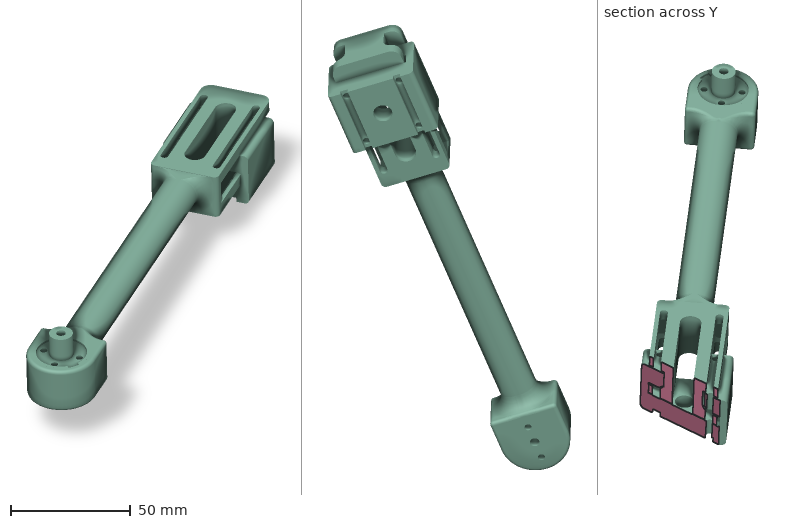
import cadquery as cq
ARM_HEADING = 30.8
ARM_ROLL = 2.0

HEAD_RADIUS = 14.8
HEAD_BACK = 15.0
ARM_HEIGHT = 20.0
HEAD_EDGE_FILLET = 1.5
HEAD_CORNER_ROUND = 1.5

TUBE_WIDTH = 16.0
TUBE_HEIGHT = 14.0
TUBE_DROP = 0.2
FLARE_RADIUS = 6.0
TUBE_ROUND = TUBE_HEIGHT / 2
TUBE_FLAT = TUBE_WIDTH - TUBE_HEIGHT
TUBE_AXIS_Z = -TUBE_DROP - TUBE_ROUND

RAIL_NEAR = 141.4
RAIL_FAR = 205.0
RAIL_WIDTH = 30.4
RAIL_NEAR_ROUND = 2.0
RAIL_FAR_ROUND = 4.5
FLANGE_THICKNESS = 5.0
GROOVE_HEIGHT = ARM_HEIGHT - 2 * FLANGE_THICKNESS
GROOVE_FLOOR_WIDTH = 17.3
GROOVE_NEAR = 145.2
GROOVE_FILLET = 3.5
GROOVE_OVERRUN = 1.0

MAIN_SLOT_WIDTH = 9.0
MAIN_SLOT_NEAR = 150.5
MAIN_SLOT_FAR = 194.5
SIDE_SLOT_WIDTH = 3.3
SIDE_SLOT_NEAR = 148.0
SIDE_SLOT_FAR = 197.0
SIDE_SLOT_OFFSET = 11.7

SLIDER_LENGTH = 30.0
SLIDER_CENTRE = 182.6
SLIDER_WIDTH = 38.0
SIDE_PLAY = 0.8
SLIDER_BASE_THICKNESS = 9.5
LIP_HEIGHT = 9.0
LIP_TOP = -5.5
LIP_INNER_WIDTH = GROOVE_FLOOR_WIDTH + SIDE_PLAY
LIP_CHAMFER = 2.0
JAW_INNER_WIDTH = RAIL_WIDTH + SIDE_PLAY
JAW_EDGE_FILLET = 2.0
SLIDER_BORE = 8.0
SCREW_HOLE = 3.0
SCREW_SPACING = 24.0
KEYWAY_WIDTH = 3.2
KEYWAY_DEPTH = 2.0

SEAT_DIAMETER = 24.0
RING_THICKNESS = 1.0
RING_INNER = 21.4
RING_GAP_ANGLE = 25.0
RING_GAP_START = -55.0
DISC_DIAMETER = 22.0
DISC_THICKNESS = 7.0
PIN_DIAMETER = 10.0
PIN_HEIGHT = 10.6
PIN_BORE = 4.0
FACE_HOLE = 3.0
FACE_HOLE_RADIUS = 8.0
BLIND_HOLE_DEPTH = 4.0


def block(width, near, far, bottom, top):
    """A box centred on X = 0."""
    box = cq.Workplane("XY").box(width, far - near, top - bottom, centered=(True, False, False))
    return box.translate((0, near, bottom))


def long_slot(width, near, far, x):
    """A round-ended slot along Y that passes through the arm's height."""
    return (
        cq.Workplane("XY")
        .center(x, (near + far) / 2)
        .slot2D(far - near, width, 90)
        .extrude(-ARM_HEIGHT)
    )


def tube_bar(near, far):
    """Straight tube between two Y positions."""
    return (
        cq.Workplane("XZ", origin=(0, near, TUBE_AXIS_Z))
        .slot2D(TUBE_WIDTH, TUBE_HEIGHT)
        .extrude(near - far)
    )


def flare(face_y, direction, top):
    """Concave blend from a block face at face_y to the tube, growing in the given Y direction."""
    tip_y = face_y + direction * FLARE_RADIUS
    foot = TUBE_ROUND + FLARE_RADIUS
    mid = FLARE_RADIUS * (1 - 0.5**0.5)
    near, far = min(face_y, tip_y), max(face_y, tip_y)
    half_flat = TUBE_FLAT / 2

    def round_end(x):
        return (
            cq.Workplane("XY", origin=(x, 0, TUBE_AXIS_Z))
            .moveTo(0, face_y)
            .lineTo(foot, face_y)
            .threePointArc((TUBE_ROUND + mid, face_y + direction * mid), (TUBE_ROUND, tip_y))
            .lineTo(0, tip_y)
            .close()
            .revolve(360, (0, 0, 0), (0, 1, 0))
        )

    lower = (
        cq.Workplane("YZ", origin=(-half_flat, 0, TUBE_AXIS_Z))
        .moveTo(face_y, 0)
        .lineTo(face_y, -foot)
        .threePointArc((face_y + direction * mid, -TUBE_ROUND - mid), (tip_y, -TUBE_ROUND))
        .lineTo(tip_y, 0)
        .close()
        .extrude(TUBE_FLAT)
    )
    upper = block(TUBE_FLAT, near, far, TUBE_AXIS_Z, -TUBE_DROP)
    envelope = block(4 * foot, near, far, -ARM_HEIGHT, top)
    return round_end(-half_flat).union(round_end(half_flat)).union(lower).union(upper).intersect(envelope)


def make_head():
    """Round-nosed head with rounded back corners."""
    return (
        cq.Workplane("XY")
        .moveTo(-HEAD_RADIUS, HEAD_BACK)
        .lineTo(-HEAD_RADIUS, 0)
        .threePointArc((0, -HEAD_RADIUS), (HEAD_RADIUS, 0))
        .lineTo(HEAD_RADIUS, HEAD_BACK)
        .close()
        .extrude(-ARM_HEIGHT)
        .edges("|Z and >Y")
        .fillet(HEAD_CORNER_ROUND)
    )


def side_groove():
    """Groove along the rail's +X side, open at the far end, with a rounded lower inner corner."""
    depth = (RAIL_WIDTH - GROOVE_FLOOR_WIDTH) / 2
    return (
        cq.Workplane("XY")
        .box(2 * depth, RAIL_FAR - GROOVE_NEAR + GROOVE_OVERRUN, GROOVE_HEIGHT, centered=False)
        .translate((GROOVE_FLOOR_WIDTH / 2, GROOVE_NEAR, FLANGE_THICKNESS - ARM_HEIGHT))
        .edges("|Y and <X and <Z")
        .fillet(GROOVE_FILLET)
    )


def make_rail():
    """Grooved and slotted block that carries the slider."""
    rail = block(RAIL_WIDTH, RAIL_NEAR, RAIL_FAR, -ARM_HEIGHT, 0)
    rail = rail.edges("|Z and >Y").fillet(RAIL_FAR_ROUND)
    rail = rail.edges("|Z and <Y").fillet(RAIL_NEAR_ROUND)
    groove = side_groove()
    rail = rail.cut(groove).cut(groove.mirror("YZ"))
    rail = rail.cut(long_slot(MAIN_SLOT_WIDTH, MAIN_SLOT_NEAR, MAIN_SLOT_FAR, 0))
    for x in (-SIDE_SLOT_OFFSET, SIDE_SLOT_OFFSET):
        rail = rail.cut(long_slot(SIDE_SLOT_WIDTH, SIDE_SLOT_NEAR, SIDE_SLOT_FAR, x))
    return rail


def face_holes(angle, depth):
    """A pair of holes on opposite sides of the pivot axis, cut down from the top of the arm."""
    return (
        cq.Workplane("XY")
        .polarArray(FACE_HOLE_RADIUS, angle, 360, 2)
        .circle(FACE_HOLE / 2)
        .extrude(-depth)
    )


def make_arm():
    """Head, tube and rail in one piece, with the pivot's seat and bores cut into the head."""
    arm = make_head().union(tube_bar(HEAD_BACK, RAIL_NEAR)).union(flare(HEAD_BACK, 1, 0))
    arm = arm.faces("<Z").edges().fillet(HEAD_EDGE_FILLET)
    arm = arm.faces(">Z").edges().fillet(HEAD_EDGE_FILLET)
    arm = arm.union(make_rail()).union(flare(RAIL_NEAR, -1, -TUBE_DROP))
    seat = cq.Workplane("XY").circle(SEAT_DIAMETER / 2).extrude(-RING_THICKNESS)
    pocket = cq.Workplane("XY").circle(DISC_DIAMETER / 2).extrude(-RING_THICKNESS - DISC_THICKNESS)
    centre_bore = cq.Workplane("XY").circle(PIN_BORE / 2).extrude(-ARM_HEIGHT)
    return arm.cut(seat).cut(pocket).cut(centre_bore).cut(face_holes(90, ARM_HEIGHT))


def make_slider():
    """C-shaped clamp whose lips run in the rail's side grooves."""
    near = SLIDER_CENTRE - SLIDER_LENGTH / 2
    far = near + SLIDER_LENGTH
    bottom = -ARM_HEIGHT - SLIDER_BASE_THICKNESS
    lip_bottom = LIP_TOP - LIP_HEIGHT
    slider = block(SLIDER_WIDTH, near, far, bottom, LIP_TOP)
    slider = slider.edges("|Y").fillet(JAW_EDGE_FILLET)
    slider = slider.cut(block(JAW_INNER_WIDTH, near, far, -ARM_HEIGHT, lip_bottom))
    slider = slider.cut(block(LIP_INNER_WIDTH, near, far, lip_bottom, LIP_TOP))

    margin = 0.1
    lip_edges = cq.selectors.BoxSelector(
        (-LIP_INNER_WIDTH / 2 - margin, near - margin, lip_bottom - margin),
        (LIP_INNER_WIDTH / 2 + margin, far + margin, lip_bottom + margin),
    )
    slider = slider.edges(lip_edges).chamfer(LIP_CHAMFER)

    floor = cq.Workplane("XY", origin=(0, SLIDER_CENTRE, bottom))
    slider = slider.cut(floor.circle(SLIDER_BORE / 2).extrude(SLIDER_BASE_THICKNESS))
    screws = (
        cq.Workplane("XY", origin=(0, SLIDER_CENTRE, bottom))
        .rect(2 * SIDE_SLOT_OFFSET, SCREW_SPACING, forConstruction=True)
        .vertices()
        .circle(SCREW_HOLE / 2)
        .extrude(LIP_TOP - bottom)
    )
    slider = slider.cut(screws)
    for x in (-SIDE_SLOT_OFFSET, SIDE_SLOT_OFFSET):
        keyway = block(KEYWAY_WIDTH, near, far, bottom, bottom + KEYWAY_DEPTH)
        slider = slider.cut(keyway.translate((x, 0, 0)))
    return slider.translate((-SIDE_PLAY / 2, 0, 0))


def make_pivot():
    """Disc with a bored pin, two through holes and two blind holes."""
    top = -RING_THICKNESS
    pivot = cq.Workplane("XY", origin=(0, 0, top)).circle(DISC_DIAMETER / 2).extrude(-DISC_THICKNESS)
    pin = cq.Workplane("XY", origin=(0, 0, top)).circle(PIN_DIAMETER / 2).extrude(PIN_HEIGHT)
    pivot = pivot.union(pin).faces(">Z").workplane().hole(PIN_BORE)
    pivot = pivot.cut(face_holes(90, ARM_HEIGHT))
    return pivot.cut(face_holes(0, RING_THICKNESS + BLIND_HOLE_DEPTH))


def make_ring():
    """Open retaining ring swept round the pivot axis, leaving a gap at one side."""
    width = (SEAT_DIAMETER - RING_INNER) / 2
    return (
        cq.Workplane("XZ", origin=(RING_INNER / 2, 0, 0))
        .rect(width, -RING_THICKNESS, centered=False)
        .revolve(360 - RING_GAP_ANGLE, (-RING_INNER / 2, 0, 0), (-RING_INNER / 2, -1, 0))
        .rotate((0, 0, 0), (0, 0, 1), RING_GAP_START)
    )


def place(body):
    """Turn a body about the pivot to its heading, then roll it about Y."""
    return body.rotate((0, 0, 0), (0, 0, 1), ARM_HEADING).rotate((0, 0, 0), (0, 1, 0), -ARM_ROLL)


arm = place(make_arm())
slider = place(make_slider())
pivot = place(make_pivot())
ring = place(make_ring())
result = cq.Compound.makeCompound([arm.val(), slider.val(), pivot.val(), ring.val()])